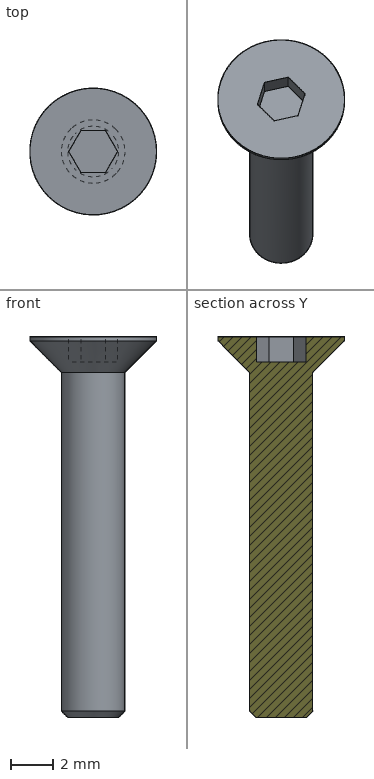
import cadquery as cq
import math

length = 18.0
shank_diameter = 3.0
head_diameter = 6.0
head_angle = 90.0
rim_thickness = 0.2
tip_chamfer = 0.3
socket_across_flats = 2.0
socket_sides = 6
socket_depth = 1.2

shank_radius = shank_diameter / 2
head_radius = head_diameter / 2
cone_height = (head_radius - shank_radius) / math.tan(math.radians(head_angle / 2))
head_height = rim_thickness + cone_height


def screw_body():
    """Head, shank and chamfered tip, revolved from one half profile."""
    profile = (
        cq.Workplane("XZ")
        .moveTo(0, 0)
        .lineTo(head_radius, 0)
        .lineTo(head_radius, -rim_thickness)
        .lineTo(shank_radius, -head_height)
        .lineTo(shank_radius, -length + tip_chamfer)
        .lineTo(shank_radius - tip_chamfer, -length)
        .lineTo(0, -length)
        .close()
    )
    return profile.revolve(axisStart=(0, 0, 0), axisEnd=(0, 1, 0))


def hex_socket():
    """Hexagonal drive recess with two corners on the X axis."""
    across_corners = socket_across_flats / math.cos(math.pi / socket_sides)
    return cq.Workplane("XY").polygon(socket_sides, across_corners).extrude(-socket_depth)


result = screw_body().cut(hex_socket())